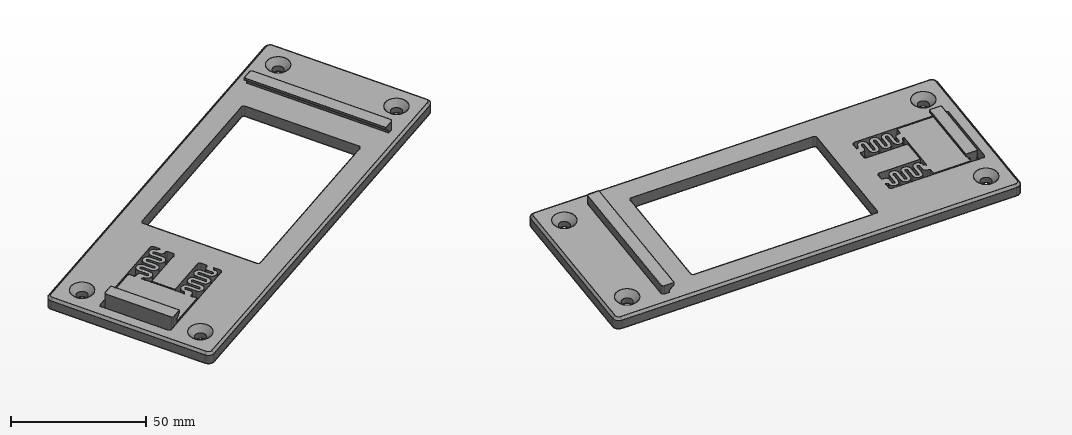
import cadquery as cq

PLATE_WIDTH = 70.0
PLATE_LENGTH = 170.0
PLATE_THICKNESS = 5.0
PLATE_CORNER_RADIUS = 2.5
PLATE_EDGE_CHAMFER = 1.0

WINDOW_WIDTH = 50.0
WINDOW_TOP_Y = 48.0
WINDOW_BOTTOM_Y = -30.0
WINDOW_CORNER_RADIUS = 1.0

HOLE_DIAMETER = 4.5
COUNTERSINK_DIAMETER = 9.4
COUNTERSINK_ANGLE = 90.0
HOLE_X = 25.0
HOLE_Y = 75.0

OVERALL_HEIGHT = 9.0
HOOK_DEPTH = 5.0
HOOK_OVERHANG = 2.0
HOOK_LIP_THICKNESS = 1.0
FIXED_HOOK_WIDTH = 60.0
FIXED_HOOK_BACK_Y = 63.0
FIXED_HOOK_CORNER_RADIUS = 1.0

SLOT_WIDTH = 30.0
SLOT_TOP_Y = -40.0
SLOT_BOTTOM_Y = -80.0
SLOT_CORNER_RADIUS = 1.0
TONGUE_WIDTH = 10.0
CLEARANCE = 0.5
LATCH_TOP_Y = -58.5
LATCH_BOTTOM_Y = -77.0
LATCH_CORNER_RADIUS = 0.5
TONGUE_END_Y = LATCH_TOP_Y + CLEARANCE
LATCH_WIDTH = SLOT_WIDTH - 2 * CLEARANCE

SPRING_X = 10.2
SPRING_WIDTH = 8.0
SPRING_WALL = 1.5
SPRING_PITCH = 2.5
SPRING_RUNS = 5
SPRING_CENTER_Y = (SLOT_TOP_Y + LATCH_TOP_Y) / 2
BEND_OUTER_RADIUS = (SPRING_PITCH + SPRING_WALL) / 2
BEND_INNER_RADIUS = (SPRING_PITCH - SPRING_WALL) / 2
RUN_HALF_LENGTH = SPRING_WIDTH / 2 - BEND_OUTER_RADIUS
ANCHOR_RIGHT = 1.55
ANCHOR_LEFT = -1.2
ANCHOR_CORNER_RADIUS = 1.5
ANCHOR_FILLET = SPRING_PITCH - SPRING_WALL
ANCHOR_FLARE = 0.5


def box(x_min, x_max, y_min, y_max):
    """Upright block standing on the underside plane."""
    block = cq.Workplane("XY").box(x_max - x_min, y_max - y_min, PLATE_THICKNESS, centered=False)
    return block.translate((x_min, y_min, 0))


def make_plate():
    plate = cq.Workplane("XY").rect(PLATE_WIDTH, PLATE_LENGTH).extrude(PLATE_THICKNESS)
    plate = plate.edges("|Z").fillet(PLATE_CORNER_RADIUS)
    plate = plate.faces(">Z").edges().chamfer(PLATE_EDGE_CHAMFER)
    window = box(-WINDOW_WIDTH / 2, WINDOW_WIDTH / 2, WINDOW_BOTTOM_Y, WINDOW_TOP_Y)
    plate = plate.cut(window.edges("|Z").fillet(WINDOW_CORNER_RADIUS))
    hole_centers = [(x, y) for x in (-HOLE_X, HOLE_X) for y in (-HOLE_Y, HOLE_Y)]
    return (
        plate.faces(">Z")
        .workplane(origin=(0, 0, PLATE_THICKNESS))
        .pushPoints(hole_centers)
        .cskHole(HOLE_DIAMETER, COUNTERSINK_DIAMETER, COUNTERSINK_ANGLE)
    )


def make_slot():
    """Opening for the latch: a rectangle less the tongue reaching down into it."""
    opening = box(-SLOT_WIDTH / 2, SLOT_WIDTH / 2, SLOT_BOTTOM_Y, SLOT_TOP_Y)
    opening = opening.edges("|Z and <Y").fillet(SLOT_CORNER_RADIUS)
    opening = opening.cut(box(-TONGUE_WIDTH / 2, TONGUE_WIDTH / 2, TONGUE_END_Y, SLOT_TOP_Y))
    return opening.edges("|Z and >Y").fillet(SLOT_CORNER_RADIUS)


def make_hook(width, back_y, toward, corner_radius):
    """Hook whose lip overhangs from back_y in the +Y (toward=1) or -Y (toward=-1) direction."""
    tip_y = back_y + toward * HOOK_DEPTH
    stem_y = tip_y - toward * HOOK_OVERHANG
    lip_z = OVERALL_HEIGHT - HOOK_LIP_THICKNESS
    profile = [
        (back_y, 0),
        (back_y, OVERALL_HEIGHT),
        (tip_y, OVERALL_HEIGHT),
        (tip_y, lip_z),
        (stem_y, lip_z - HOOK_OVERHANG),
        (stem_y, 0),
    ]
    hook = cq.Workplane("YZ").polyline(profile).close().extrude(width / 2, both=True)
    back_side = "<Y" if toward > 0 else ">Y"
    return hook.faces(back_side).edges("|Z").fillet(corner_radius)


def make_bend(y, side):
    """Half ring at the -X (side=-1) or +X (side=1) end, joining the runs above and below y."""
    x = side * RUN_HALF_LENGTH
    return (
        cq.Workplane("XY")
        .moveTo(x, y + BEND_OUTER_RADIUS)
        .threePointArc((x + side * BEND_OUTER_RADIUS, y), (x, y - BEND_OUTER_RADIUS))
        .lineTo(x, y - BEND_INNER_RADIUS)
        .threePointArc((x + side * BEND_INNER_RADIUS, y), (x, y + BEND_INNER_RADIUS))
        .close()
        .extrude(PLATE_THICKNESS)
    )


def make_anchor(base_y):
    """Foot joining the upper end of the spring to the edge at base_y, in spring coordinates."""
    run_y = (SPRING_RUNS + 1) / 2 * SPRING_PITCH
    upper_y = run_y + SPRING_WALL / 2
    lower_y = run_y - SPRING_WALL / 2
    return (
        cq.Workplane("XY")
        .moveTo(-RUN_HALF_LENGTH, lower_y)
        .lineTo(ANCHOR_RIGHT - ANCHOR_CORNER_RADIUS, lower_y)
        .radiusArc((ANCHOR_RIGHT, lower_y + ANCHOR_CORNER_RADIUS), -ANCHOR_CORNER_RADIUS)
        .lineTo(ANCHOR_RIGHT, base_y - ANCHOR_FLARE)
        .radiusArc((ANCHOR_RIGHT + ANCHOR_FLARE, base_y), ANCHOR_FLARE)
        .lineTo(ANCHOR_LEFT, base_y)
        .radiusArc((ANCHOR_LEFT - ANCHOR_FILLET, upper_y), ANCHOR_FILLET)
        .lineTo(-RUN_HALF_LENGTH, upper_y)
        .close()
        .extrude(PLATE_THICKNESS)
    )


def make_spring():
    """Left-hand spring, which looks the same after half a turn about its centre."""
    half_wall = SPRING_WALL / 2
    spring = make_anchor(SLOT_TOP_Y - SPRING_CENTER_Y)
    spring = spring.union(spring.rotate((0, 0, 0), (0, 0, 1), 180))
    for run in range(SPRING_RUNS):
        y = ((SPRING_RUNS - 1) / 2 - run) * SPRING_PITCH
        spring = spring.union(box(-RUN_HALF_LENGTH, RUN_HALF_LENGTH, y - half_wall, y + half_wall))
    side = -1
    for bend in range(SPRING_RUNS + 1):
        spring = spring.union(make_bend((SPRING_RUNS / 2 - bend) * SPRING_PITCH, side))
        side = -side
    return spring.translate((-SPRING_X, SPRING_CENTER_Y, 0))


def make_latch():
    body = box(-LATCH_WIDTH / 2, LATCH_WIDTH / 2, LATCH_BOTTOM_Y, LATCH_TOP_Y)
    body = body.faces("<Y").edges("|Z").fillet(LATCH_CORNER_RADIUS)
    return body.union(make_hook(LATCH_WIDTH, LATCH_BOTTOM_Y, 1, LATCH_CORNER_RADIUS))


left_spring = make_spring()
result = (
    make_plate()
    .cut(make_slot())
    .union(make_hook(FIXED_HOOK_WIDTH, FIXED_HOOK_BACK_Y, -1, FIXED_HOOK_CORNER_RADIUS))
    .union(make_latch())
    .union(left_spring)
    .union(left_spring.mirror("YZ"))
)